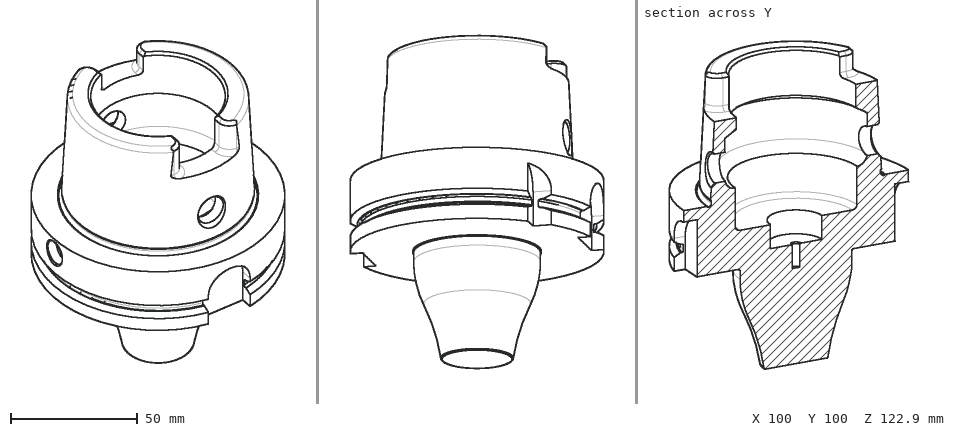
import cadquery as cq
import math

FLANGE_R = 50.0
FLANGE_BOTTOM_Z = -29.0

GROOVE_UPPER_Z = -16.7
GROOVE_LOWER_Z = -23.2
GROOVE_FLANK_DROP = 1.5
GROOVE_FLANK_DEPTH = 2.7
GROOVE_ROOT_R = 46.0
GROOVE_ROOT_FILLET = 0.75

SHANK_TOP_Z = 50.0
TAPER_START_Z = 2.5
TAPER_START_R = 38.05
TAPER_SLOPE = 0.05
SHANK_TOP_FILLET = 2.0

RELIEF_R = 37.7
RELIEF_UPPER_Z = 1.8
RELIEF_FILLET_Z = 1.0
RELIEF_FILLET = 1.4
RELIEF_RIM = 0.5

NECK_R = 25.0
NECK_CHAMFER = 0.4
NECK_CYLINDER_END_Z = -33.0
NECK_INFLECTION_Z = -50.2
NECK_CONVEX_R = 40.0
TIP_Z = -72.9
TIP_R = 14.3
TIP_CHAMFER = 0.5

MOUTH_R = 26.5
MOUTH_CHAMFER = 1.1
CHAMBER_TOP_Z = 30.0
CHAMBER_R = 31.5
CHAMBER_FILLET_TOP_Z = 10.0

POCKET_R = 27.0
POCKET_FLOOR_Z = -12.5
CHAMBER_SHOULDER_ANGLE = 30.0
POCKET_FILLET = 2.0

SEAT_R = 11.4
SEAT_DEPTH = 10.0
COOLANT_CHAMFER_R = 2.1
COOLANT_R = 1.6
COOLANT_DEPTH = 10.0

DRIVE_SLOT_WIDTH = 20.0
DRIVE_SLOT_FLOOR_LEFT_Z = 40.0
DRIVE_SLOT_FLOOR_RIGHT_Z = 35.0
DRIVE_SLOT_FILLET = 2.0
DRIVE_SLOT_CHAMFER = 1.5
LUG_END_X = 32.4
LUG_CORNER_R = 5.0

CROSS_HOLE_R = 6.0
CROSS_HOLE_Z = 15.2
CROSS_HOLE_CHAMFER = 1.2

KEY_SLOT_WIDTH = 20.0
KEY_SLOT_TOP_Z = -5.0
KEY_SLOT_FLOOR_X = 44.0

INDEX_NOTCH_OFFSET = 31.4

CARRIER_R = 5.0
CARRIER_Z = -7.0
CARRIER_DEPTH = 4.6
CARRIER_CHAMFER = 0.6
CARRIER_CENTRE_R = 0.6
CARRIER_CENTRE_DEPTH = 1.0

FLARE_OVERRUN = 2.0


def taper_radius(z):
    return TAPER_START_R - TAPER_SLOPE * (z - TAPER_START_Z)


def flared_cutter(plane, radius, depth, chamfer):
    """A round cutter with a 45 degree flare that is radius + chamfer wide at the plane's origin."""
    wide_r = radius + chamfer + FLARE_OVERRUN
    flare_length = chamfer + FLARE_OVERRUN
    hole = cq.Workplane(plane).circle(radius).extrude(depth)
    flare = (
        cq.Workplane(plane)
        .workplane(offset=-FLARE_OVERRUN)
        .circle(wide_r)
        .workplane(offset=flare_length)
        .circle(radius)
        .loft()
    )
    return hole.union(flare)


def body():
    """Outer shape of shank, flange and neck as one turned solid."""
    sine_45 = math.sin(math.radians(45))

    top_edge_r = taper_radius(SHANK_TOP_Z)
    taper_angle = math.atan(TAPER_SLOPE)
    top_tangent = SHANK_TOP_FILLET * math.tan(math.pi / 4 - taper_angle / 2)
    top_start = (
        top_edge_r + top_tangent * math.sin(taper_angle),
        SHANK_TOP_Z - top_tangent * math.cos(taper_angle),
    )
    top_end = (top_edge_r - top_tangent, SHANK_TOP_Z)

    relief_floor_r = RELIEF_R + RELIEF_FILLET
    relief_floor_z = RELIEF_FILLET_Z - RELIEF_FILLET
    relief_mid = (
        relief_floor_r - RELIEF_FILLET * sine_45,
        RELIEF_FILLET_Z - RELIEF_FILLET * sine_45,
    )

    bend = math.asin((NECK_CYLINDER_END_Z - NECK_INFLECTION_Z) / NECK_CONVEX_R)
    convex_centre_r = NECK_R - NECK_CONVEX_R
    convex_mid = (
        convex_centre_r + NECK_CONVEX_R * math.cos(bend / 2),
        NECK_CYLINDER_END_Z - NECK_CONVEX_R * math.sin(bend / 2),
    )
    convex_end = (convex_centre_r + NECK_CONVEX_R * math.cos(bend), NECK_INFLECTION_Z)

    profile = (
        cq.Workplane("XZ")
        .moveTo(0, SHANK_TOP_Z)
        .lineTo(*top_end)
        .radiusArc(top_start, SHANK_TOP_FILLET)
        .lineTo(TAPER_START_R, TAPER_START_Z)
        .lineTo(RELIEF_R, RELIEF_UPPER_Z)
        .lineTo(RELIEF_R, RELIEF_FILLET_Z)
        .threePointArc(relief_mid, (relief_floor_r, relief_floor_z))
        .lineTo(relief_floor_r + RELIEF_RIM, 0)
        .lineTo(FLANGE_R, 0)
        .lineTo(FLANGE_R, FLANGE_BOTTOM_Z)
        .lineTo(NECK_R + NECK_CHAMFER, FLANGE_BOTTOM_Z)
        .lineTo(NECK_R, FLANGE_BOTTOM_Z - NECK_CHAMFER)
        .lineTo(NECK_R, NECK_CYLINDER_END_Z)
        .threePointArc(convex_mid, convex_end)
        .tangentArcPoint((TIP_R, TIP_Z + TIP_CHAMFER), relative=False)
        .lineTo(TIP_R - TIP_CHAMFER, TIP_Z)
        .lineTo(0, TIP_Z)
        .close()
    )
    return profile.revolve(360, (0, 0, 0), (0, 1, 0))


def gripper_groove():
    """Ring with sloping flanks and a flat root with rounded corners."""
    step_r = FLANGE_R - GROOVE_FLANK_DEPTH
    upper_wall_z = GROOVE_UPPER_Z - GROOVE_FLANK_DROP
    lower_wall_z = GROOVE_LOWER_Z + GROOVE_FLANK_DROP
    fillet_r = GROOVE_ROOT_R + GROOVE_ROOT_FILLET
    return (
        cq.Workplane("XZ")
        .moveTo(FLANGE_R, GROOVE_UPPER_Z)
        .lineTo(step_r, upper_wall_z)
        .lineTo(fillet_r, upper_wall_z)
        .radiusArc((GROOVE_ROOT_R, upper_wall_z - GROOVE_ROOT_FILLET), -GROOVE_ROOT_FILLET)
        .lineTo(GROOVE_ROOT_R, lower_wall_z + GROOVE_ROOT_FILLET)
        .radiusArc((fillet_r, lower_wall_z), -GROOVE_ROOT_FILLET)
        .lineTo(step_r, lower_wall_z)
        .lineTo(FLANGE_R, GROOVE_LOWER_Z)
        .close()
        .revolve(360, (0, 0, 0), (0, 1, 0))
    )


def clamping_bore():
    """Chamfered mouth, wider chamber, pocket with a rounded floor, coolant tube seat and coolant bore."""
    shoulder_drop = (CHAMBER_R - MOUTH_R) * math.tan(math.radians(CHAMBER_SHOULDER_ANGLE))
    chamber_fillet = CHAMBER_R - POCKET_R
    seat_z = POCKET_FLOOR_Z - SEAT_DEPTH
    coolant_chamfer = COOLANT_CHAMFER_R - COOLANT_R
    return (
        cq.Workplane("XZ")
        .moveTo(0, SHANK_TOP_Z)
        .lineTo(MOUTH_R + MOUTH_CHAMFER, SHANK_TOP_Z)
        .lineTo(MOUTH_R, SHANK_TOP_Z - MOUTH_CHAMFER)
        .lineTo(MOUTH_R, CHAMBER_TOP_Z)
        .lineTo(CHAMBER_R, CHAMBER_TOP_Z - shoulder_drop)
        .lineTo(CHAMBER_R, CHAMBER_FILLET_TOP_Z)
        .radiusArc((POCKET_R, CHAMBER_FILLET_TOP_Z - chamber_fillet), chamber_fillet)
        .lineTo(POCKET_R, POCKET_FLOOR_Z + POCKET_FILLET)
        .radiusArc((POCKET_R - POCKET_FILLET, POCKET_FLOOR_Z), POCKET_FILLET)
        .lineTo(SEAT_R, POCKET_FLOOR_Z)
        .lineTo(SEAT_R, seat_z)
        .lineTo(COOLANT_CHAMFER_R, seat_z)
        .lineTo(COOLANT_R, seat_z - coolant_chamfer)
        .lineTo(COOLANT_R, seat_z - COOLANT_DEPTH)
        .lineTo(0, seat_z - COOLANT_DEPTH)
        .close()
        .revolve(360, (0, 0, 0), (0, 1, 0))
    )


def drive_slot(side, floor_z):
    """Slot through one shank wall; it rounds the lug corners and trims the lug ends flat."""
    half_width = DRIVE_SLOT_WIDTH / 2
    flare_start_y = half_width + LUG_CORNER_R
    flare_start_x = LUG_END_X - LUG_CORNER_R

    def outline(z):
        return (
            cq.Workplane("XY", origin=(0, 0, z))
            .moveTo(0, -half_width)
            .lineTo(flare_start_x, -half_width)
            .radiusArc((LUG_END_X, -flare_start_y), LUG_CORNER_R)
            .lineTo(LUG_END_X, -FLANGE_R)
            .lineTo(FLANGE_R, -FLANGE_R)
            .lineTo(FLANGE_R, FLANGE_R)
            .lineTo(LUG_END_X, FLANGE_R)
            .lineTo(LUG_END_X, flare_start_y)
            .radiusArc((flare_start_x, half_width), LUG_CORNER_R)
            .lineTo(0, half_width)
            .close()
        )

    slot = outline(floor_z).extrude(SHANK_TOP_Z - floor_z).faces("<Z").edges().fillet(DRIVE_SLOT_FILLET)
    chamfer_z = SHANK_TOP_Z - DRIVE_SLOT_CHAMFER
    chamfer = outline(chamfer_z).extrude(DRIVE_SLOT_CHAMFER, taper=-45)
    cutter = slot.union(chamfer)
    if side < 0:
        cutter = cutter.mirror("YZ")
    return cutter


def cross_hole(side):
    """Hole through one shank wall, chamfered where it meets the taper."""
    wall_r = taper_radius(CROSS_HOLE_Z)
    plane = cq.Plane(origin=(side * wall_r, 0, CROSS_HOLE_Z), xDir=(0, 1, 0), normal=(-side, 0, 0))
    return flared_cutter(plane, CROSS_HOLE_R, wall_r, CROSS_HOLE_CHAMFER)


def round_topped_slot(floor_x, side, centre_y):
    """Slot cut along X from outside the flange to floor_x, with a half-round upper end."""
    radius = KEY_SLOT_WIDTH / 2
    centre_z = KEY_SLOT_TOP_Z - radius
    height = centre_z - FLANGE_BOTTOM_Z
    plane = cq.Plane(origin=(side * floor_x, centre_y, centre_z), xDir=(0, side, 0), normal=(side, 0, 0))
    round_end = cq.Workplane(plane).circle(radius).extrude(FLANGE_R)
    straight = cq.Workplane(plane).center(0, -height / 2).rect(KEY_SLOT_WIDTH, height).extrude(FLANGE_R)
    return round_end.union(straight)


def carrier_hole():
    """Blind hole in the flange rim with a small centre hole in its floor."""
    plane = cq.Plane(origin=(0, -FLANGE_R, CARRIER_Z), xDir=(1, 0, 0), normal=(0, 1, 0))
    centre = cq.Workplane(plane).circle(CARRIER_CENTRE_R).extrude(CARRIER_DEPTH + CARRIER_CENTRE_DEPTH)
    return flared_cutter(plane, CARRIER_R, CARRIER_DEPTH, CARRIER_CHAMFER).union(centre)


result = body().cut(gripper_groove()).cut(clamping_bore())
for side, floor_z in ((-1, DRIVE_SLOT_FLOOR_LEFT_Z), (1, DRIVE_SLOT_FLOOR_RIGHT_Z)):
    result = result.cut(drive_slot(side, floor_z))
    result = result.cut(cross_hole(side))
    result = result.cut(round_topped_slot(KEY_SLOT_FLOOR_X, side, 0))
result = result.cut(round_topped_slot(INDEX_NOTCH_OFFSET, -1, INDEX_NOTCH_OFFSET + KEY_SLOT_WIDTH / 2))
result = result.cut(carrier_hole())